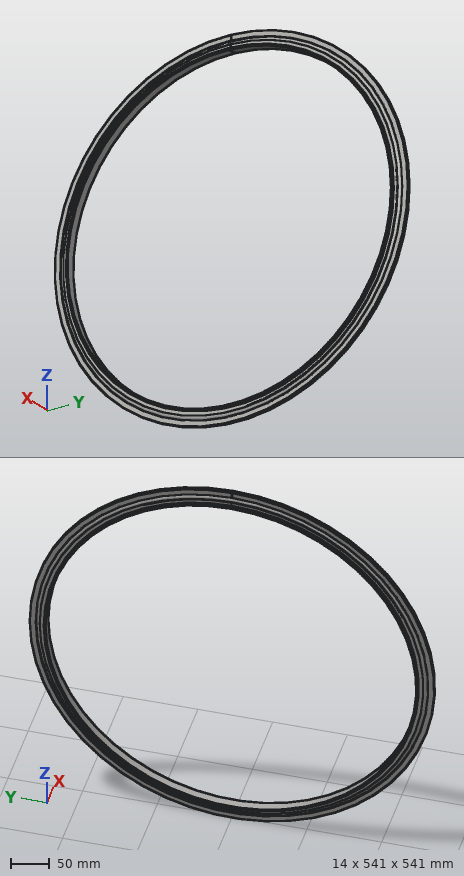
import cadquery as cq

outer_radius = 270.5
retainer_total_width = 5.0
retainer_gap = 0.5
sleeve_inner_radius = 248.0
sleeve_outer_radius = 250.5
sleeve_width = 14.0
rib_outer_radius = 257.0
rib_width = 8.0
seal_outer_radius = 262.5
seal_section_radius = 4.5
slit_width = 0.5

seal_center_radius = seal_outer_radius - seal_section_radius
retainer_width = (retainer_total_width - retainer_gap) / 2
retainer_offset = (retainer_gap + retainer_width) / 2


def flat_ring(inner_radius, outer_radius, width, center_x=0):
    """Ring of rectangular section with its axis along X and its middle at center_x."""
    return (
        cq.Workplane("YZ")
        .workplane(offset=center_x - width / 2)
        .circle(outer_radius)
        .circle(inner_radius)
        .extrude(width)
    )


def split_at_top(ring):
    """Cut a narrow slit through the ring at its highest point."""
    slit = cq.Workplane("XY").box(
        sleeve_width, slit_width, outer_radius, centered=(True, True, False)
    )
    return ring.cut(slit)


def make_seal():
    """O-ring of round section."""
    return (
        cq.Workplane("XY")
        .center(0, seal_center_radius)
        .circle(seal_section_radius)
        .revolve(360, (0, -seal_center_radius, 0), (1, -seal_center_radius, 0))
    )


def make_centering_ring(seal):
    """Wide sleeve with a central rib whose round groove seats the O-ring."""
    sleeve = flat_ring(sleeve_inner_radius, sleeve_outer_radius, sleeve_width)
    rib = flat_ring(sleeve_outer_radius, rib_outer_radius, rib_width)
    return split_at_top(sleeve.union(rib).cut(seal))


def make_retaining_ring(center_x):
    """One of the two thin rings that retain the O-ring from the outside."""
    return split_at_top(flat_ring(seal_outer_radius, outer_radius, retainer_width, center_x))


seal = make_seal()
centering_ring = make_centering_ring(seal)
retaining_rings = [make_retaining_ring(x) for x in (-retainer_offset, retainer_offset)]

result = cq.Compound.makeCompound([
    *centering_ring.solids().vals(),
    *seal.solids().vals(),
    *[ring.solids().val() for ring in retaining_rings],
])